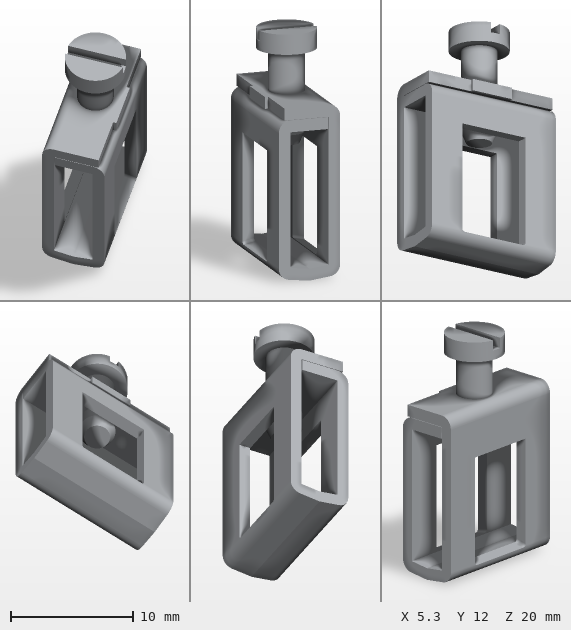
import cadquery as cq
import math

body_width = 5.3
body_length = 12.0
body_height = 14.7
sheet = 1.0
bend_radius = sheet
floor_angle = math.radians(7)
flap_gap = 0.05
flap_end_gap = 0.05
upper_flap_end = 2.15
tab_length = 0.28
tab_width = 3.8

window_width = 6.12
window_top = 10.5
sill_outer = 1.08
sill_inner = 1.3
sill_corner_radius = 0.25

screw_y = 0.25
total_height = 20.0
head_diameter = 5.0
head_height = 1.7
shaft_diameter = 3.0
tip_diameter = 2.12
tip_height = 0.95
tip_bottom = 10.28
slot_width = 0.85
slot_depth = 0.88

half_width = body_width / 2
inner_half = half_width - sheet
lower_flap_top = body_height - sheet - flap_gap
floor_middle = sheet / math.cos(floor_angle)
floor_edge = floor_middle + inner_half * math.tan(floor_angle)


def bend_point(center_x, center_z, angle):
    """Point on the outside of a bend, at an angle measured from +X."""
    return (center_x + bend_radius * math.cos(angle), center_z + bend_radius * math.sin(angle))


def make_body():
    quarter = math.pi / 2
    right_floor_tangent = floor_angle - quarter
    left_floor_tangent = -quarter - floor_angle
    upper_bend_z = body_height - bend_radius
    lower_bend_z = lower_flap_top - bend_radius
    profile = (
        cq.Workplane("XZ")
        .moveTo(0, 0)
        .lineTo(*bend_point(inner_half, floor_edge, right_floor_tangent))
        .threePointArc(
            bend_point(inner_half, floor_edge, right_floor_tangent / 2),
            (half_width, floor_edge),
        )
        .lineTo(half_width, lower_bend_z)
        .threePointArc(
            bend_point(inner_half, lower_bend_z, quarter / 2),
            (inner_half, lower_flap_top),
        )
        .lineTo(flap_end_gap - inner_half, lower_flap_top)
        .lineTo(flap_end_gap - inner_half, lower_bend_z)
        .lineTo(inner_half, lower_bend_z)
        .lineTo(inner_half, floor_edge)
        .lineTo(0, floor_middle)
        .lineTo(-inner_half, floor_edge)
        .lineTo(-inner_half, upper_bend_z)
        .lineTo(upper_flap_end, upper_bend_z)
        .lineTo(upper_flap_end, body_height)
        .lineTo(-inner_half, body_height)
        .threePointArc(
            bend_point(-inner_half, upper_bend_z, 1.5 * quarter),
            (-half_width, upper_bend_z),
        )
        .lineTo(-half_width, floor_edge)
        .threePointArc(
            bend_point(-inner_half, floor_edge, (left_floor_tangent - math.pi) / 2),
            bend_point(-inner_half, floor_edge, left_floor_tangent),
        )
        .close()
    )
    return profile.extrude(body_length / 2, both=True)


def make_tab():
    return cq.Workplane("XY").box(
        sheet + tab_length, tab_width, sheet, centered=(False, True, False)
    ).translate((upper_flap_end - sheet, 0, body_height - sheet))


def make_window(side):
    """Cutter for one wall; side is -1 for the -X wall and +1 for the +X wall."""
    cutter = (
        cq.Workplane("XZ")
        .polyline([
            (side * half_width, sill_outer),
            (side * inner_half, sill_inner),
            (side * inner_half, window_top),
            (side * half_width, window_top),
        ])
        .close()
        .extrude(window_width / 2, both=True)
    )
    sill_corners = cutter.faces("<Z").edges("not(|Y)")
    return sill_corners.fillet(sill_corner_radius)


def make_screw():
    head_bottom = total_height - head_height
    half_section = [
        (0, tip_bottom),
        (tip_diameter / 2, tip_bottom),
        (shaft_diameter / 2, tip_bottom + tip_height),
        (shaft_diameter / 2, head_bottom),
        (head_diameter / 2, head_bottom),
        (head_diameter / 2, total_height),
        (0, total_height),
    ]
    screw = cq.Workplane("XZ").polyline(half_section).close().revolve(360, (0, 0), (0, 1))
    slot = cq.Workplane("XY").box(
        head_diameter, slot_width, slot_depth, centered=(True, True, False)
    ).translate((0, 0, total_height - slot_depth))
    return screw.cut(slot).translate((0, screw_y, 0))


body = make_body().union(make_tab())
for wall_side in (-1, 1):
    body = body.cut(make_window(wall_side))

result = body.union(make_screw())